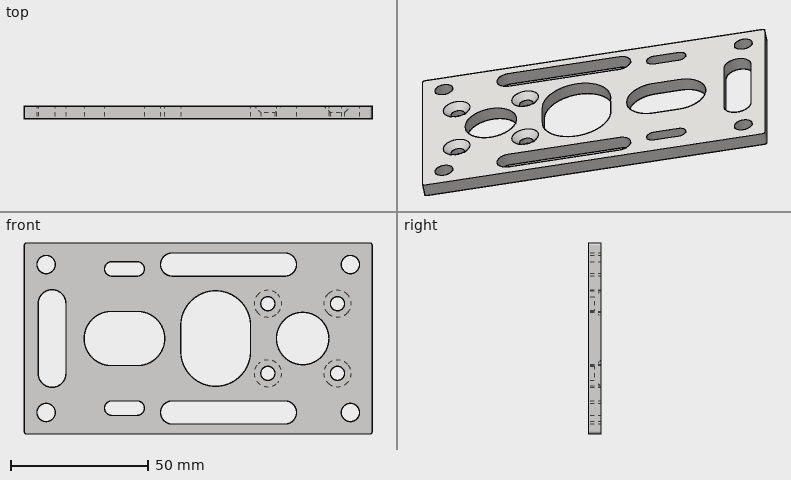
import cadquery as cq
import math

LENGTH = 127.0
THICKNESS = 4.7
HEIGHT = 69.8
CORNER_RADIUS = 1.0

MOUNT_HOLE_DIAMETER = 6.6
MOUNT_SPACING_X = 111.0
MOUNT_SPACING_Z = 54.0
BORE_DIAMETER = 19.0
BORE_X = 38.1
BORE_BOLT_DIAMETER = 5.1
BORE_BOLT_SPACING = 25.4
COUNTERSINK_DIAMETER = 9.9
COUNTERSINK_HALF_ANGLE = 45

LONG_SLOT = (49.5, 8.4)
LONG_SLOT_X = 11.0
SHORT_SLOT = (14.5, 5.2)
SHORT_SLOT_Z = 25.4
END_SLOT = (35.5, 10.0)
END_SLOT_X = -53.3
WIDE_OPENING = (29.3, 19.7)
WIDE_OPENING_X = -26.9
TALL_OPENING = (34.8, 25.4)
TALL_OPENING_X = 6.4

ALONG_X = 0
ALONG_Z = 90


def sketch_plane():
    """XZ workplane on the -Y face; local +Z points toward -Y."""
    return cq.Workplane("XZ", origin=(0, -THICKNESS / 2, 0))


def cut_holes(body, points, diameter):
    cutter = sketch_plane().pushPoints(points).circle(diameter / 2).extrude(-THICKNESS)
    return body.cut(cutter)


def cut_slots(body, points, size, angle):
    length, width = size
    cutter = sketch_plane().pushPoints(points).slot2D(length, width, angle).extrude(-THICKNESS)
    return body.cut(cutter)


def cut_back_countersinks(body, points):
    """Conical recesses on the +Y face, narrowing to the bolt hole diameter."""
    depth = (COUNTERSINK_DIAMETER - BORE_BOLT_DIAMETER) / 2 / math.tan(math.radians(COUNTERSINK_HALF_ANGLE))
    cutter = (
        cq.Workplane("XZ", origin=(0, THICKNESS / 2, 0))
        .pushPoints(points)
        .circle(COUNTERSINK_DIAMETER / 2)
        .extrude(depth, taper=COUNTERSINK_HALF_ANGLE)
    )
    return body.cut(cutter)


def rectangle_points(center_x, spacing_x, spacing_z):
    """Corners of a rectangle centred on the plate's mid-height."""
    return [
        (center_x + side_x * spacing_x / 2, side_z * spacing_z / 2)
        for side_x in (-1, 1)
        for side_z in (-1, 1)
    ]


def mirrored_pair(x, z):
    return [(x, -z), (x, z)]


plate = cq.Workplane("XY").box(LENGTH, THICKNESS, HEIGHT)
plate = plate.edges("|Y").fillet(CORNER_RADIUS)

plate = cut_holes(plate, rectangle_points(0, MOUNT_SPACING_X, MOUNT_SPACING_Z), MOUNT_HOLE_DIAMETER)
plate = cut_holes(plate, [(BORE_X, 0)], BORE_DIAMETER)
bolt_points = rectangle_points(BORE_X, BORE_BOLT_SPACING, BORE_BOLT_SPACING)
plate = cut_holes(plate, bolt_points, BORE_BOLT_DIAMETER)
plate = cut_back_countersinks(plate, bolt_points)

plate = cut_slots(plate, mirrored_pair(LONG_SLOT_X, MOUNT_SPACING_Z / 2), LONG_SLOT, ALONG_X)
plate = cut_slots(plate, mirrored_pair(WIDE_OPENING_X, SHORT_SLOT_Z), SHORT_SLOT, ALONG_X)

plate = cut_slots(plate, [(END_SLOT_X, 0)], END_SLOT, ALONG_Z)
plate = cut_slots(plate, [(WIDE_OPENING_X, 0)], WIDE_OPENING, ALONG_X)
plate = cut_slots(plate, [(TALL_OPENING_X, 0)], TALL_OPENING, ALONG_Z)

result = plate